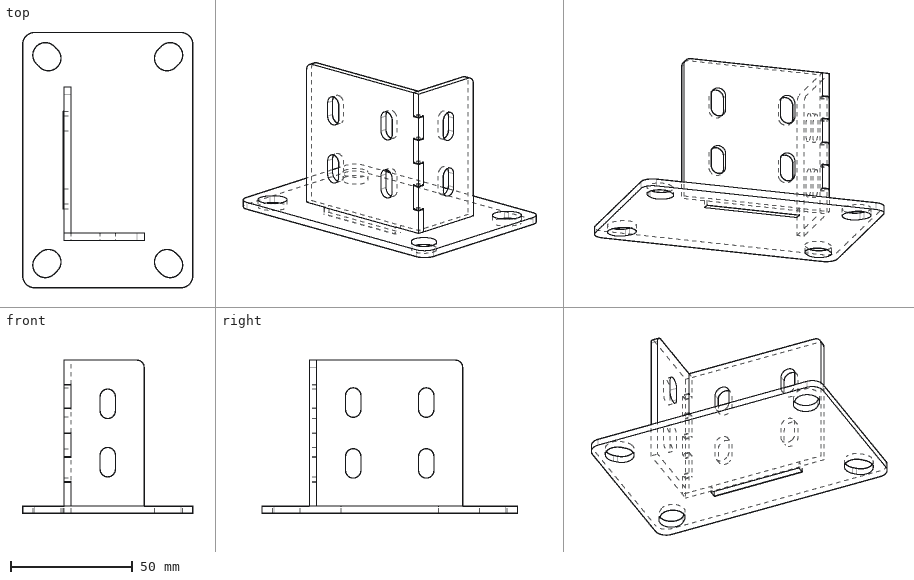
import cadquery as cq

thickness = 3.0
joint_gap = 0.3

base_length_x = 70.0
base_length_y = 105.0
base_corner_radius = 5.0

mount_edge_distance = 10.0
mount_hole_width = 10.2
mount_hole_length = 12.0
mount_hole_angle = 45.0

wall_height = 60.0
wall_corner_radius = 3.0
wall_foot = thickness
wall_top = wall_foot + wall_height
wall_mid = wall_foot + wall_height / 2

side_inner_x = -15.0
side_outer_x = side_inner_x - thickness
side_back_y = 30.0
front_inner_y = -30.0
front_outer_y = front_inner_y - thickness
front_right_x = 15.0

slot_width = 6.2
slot_length = 12.0
front_slot_pitch_z = 24.0
side_slot_pitch_z = 25.0
side_slot_pitch_y = 30.0

finger_pairs = 3
finger_height = wall_height / (2 * finger_pairs)

foot_tab_length = 40.0


def block(x_min, x_max, y_min, y_max, z_min, z_max):
    """Axis-aligned box given by its limits."""
    size = (x_max - x_min, y_max - y_min, z_max - z_min)
    return cq.Workplane("XY").box(*size, centered=False).translate((x_min, y_min, z_min))


def corner_notches(margin, first_level):
    """Cutters through the shared wall corner, on every second finger level.

    Level 0 is at the foot of the walls. The margin is added above and below each cutter.
    """
    notches = cq.Workplane("XY")
    for level in range(first_level, 2 * finger_pairs, 2):
        z_min = wall_foot + level * finger_height
        z_max = z_min + finger_height
        notches = notches.add(
            block(
                side_outer_x,
                side_inner_x,
                front_outer_y,
                front_inner_y,
                z_min - margin,
                z_max + margin,
            )
        )
    return notches.combine()


def make_base_plate():
    plate = block(
        -base_length_x / 2,
        base_length_x / 2,
        -base_length_y / 2,
        base_length_y / 2,
        0,
        thickness,
    )
    plate = plate.edges("|Z").fillet(base_corner_radius)

    hole_x = base_length_x / 2 - mount_edge_distance
    hole_y = base_length_y / 2 - mount_edge_distance
    for x_side in (-1, 1):
        for y_side in (-1, 1):
            hole = (
                cq.Workplane("XY")
                .center(x_side * hole_x, y_side * hole_y)
                .slot2D(mount_hole_length, mount_hole_width, x_side * y_side * mount_hole_angle)
                .extrude(thickness)
            )
            plate = plate.cut(hole)

    foot_slot = block(
        side_outer_x - joint_gap,
        side_inner_x,
        -foot_tab_length / 2,
        foot_tab_length / 2,
        0,
        thickness,
    )
    return plate.cut(foot_slot)


def make_side_wall():
    wall = block(side_outer_x, side_inner_x, front_outer_y, side_back_y, wall_foot, wall_top)
    wall = wall.edges("|X and >Y and >Z").fillet(wall_corner_radius)

    slots = (
        cq.Workplane("YZ", origin=(side_outer_x, 0, wall_mid))
        .rarray(side_slot_pitch_y, side_slot_pitch_z, 2, 2)
        .slot2D(slot_length, slot_width, 90)
        .extrude(thickness)
    )
    foot_tab = block(
        side_outer_x,
        side_inner_x,
        -foot_tab_length / 2,
        foot_tab_length / 2,
        0,
        wall_foot,
    )
    return wall.cut(slots).cut(corner_notches(joint_gap, 1)).union(foot_tab)


def make_front_wall():
    wall = block(side_outer_x, front_right_x, front_outer_y, front_inner_y, wall_foot, wall_top)
    wall = wall.edges("|Y and >X and >Z").fillet(wall_corner_radius)

    slots = (
        cq.Workplane("XZ", origin=(0, front_inner_y, wall_mid))
        .rarray(1, front_slot_pitch_z, 1, 2)
        .slot2D(slot_length, slot_width, 90)
        .extrude(thickness)
    )
    return wall.cut(slots).cut(corner_notches(0, 0))


base_plate = make_base_plate()
side_wall = make_side_wall()
front_wall = make_front_wall()

result = cq.Compound.makeCompound([base_plate.val(), side_wall.val(), front_wall.val()])